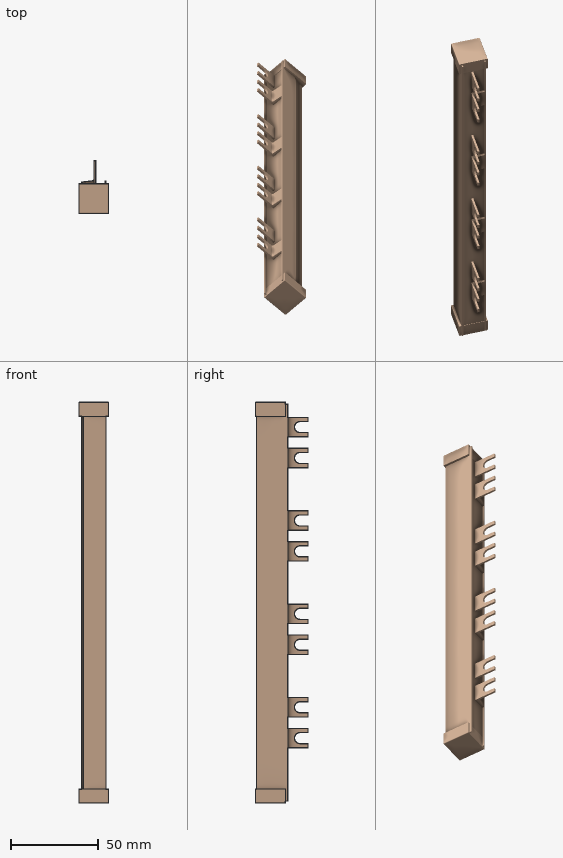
import cadquery as cq

length = 228.5
depth = 30.2
width = 17.0
front_y = -depth / 2
tip_y = depth / 2

cap_height = 8.0
cap_depth = 17.1
cap_round = 0.5

body_side = 7.0
body_front_y = -14.5
body_back_y = 1.8
front_left_x = -5.7
flank_y = -12.0
ridge_x = -6.6
ridge_y = -8.7
groove_x = -6.2
groove_y = -7.0

lip_thickness = 0.7
left_lip_back_y = 3.0
right_lip_back_y = 3.5
lip_length = 226.2

fork_thickness = 1.1
fork_x = 0.7
fork_height = 11.2
fork_root_y = body_back_y
slot_width = 6.2
slot_end_y = 7.3
first_fork_z = 100.0
fork_pitch = 53.2
fork_pairs = 4
pair_spacing = 17.5

foot_outer_x = -6.6
foot_outer_y = 3.0
foot_inner_y = 3.7
foot_bend_radius = 0.7


def make_housing():
    """Constant section with a stepped left flank, ending halfway into each cap."""
    outline = [
        (-body_side, body_back_y),
        (-body_side, groove_y),
        (groove_x, groove_y),
        (ridge_x, ridge_y),
        (front_left_x, flank_y),
        (front_left_x, body_front_y),
        (body_side, body_front_y),
        (body_side, body_back_y),
    ]
    housing_length = length - cap_height
    return cq.Workplane("XY").polyline(outline).close().extrude(housing_length / 2, both=True)


def make_cap(side):
    """End cap at the top (side = 1) or bottom (side = -1), rounded except at its mouth and rear face."""
    cap = cq.Workplane("XY").box(width, cap_depth, cap_height)
    cap = cap.edges("|Z and <Y").fillet(cap_round)
    outer_face = ">Z" if side > 0 else "<Z"
    cap = cap.faces(outer_face).edges("not >Y").fillet(cap_round)
    return cap.translate((0, front_y + cap_depth / 2, side * (length - cap_height) / 2))


def make_lip(center_x, back_y):
    """Thin wall rising from the middle plane of the housing to back_y."""
    lip = cq.Workplane("XY").box(lip_thickness, back_y, lip_length)
    return lip.translate((center_x, back_y / 2, 0))


def make_fork(z):
    """Flat two-pronged blade with a round-ended slot open at the tip."""
    blade_length = tip_y - fork_root_y
    blade = cq.Workplane("XY").box(fork_thickness, blade_length, fork_height)
    blade = blade.translate((fork_x, fork_root_y + blade_length / 2, z))
    slot_radius = slot_width / 2
    slot_center_y = slot_end_y + slot_radius
    slot = (
        cq.Workplane("YZ")
        .moveTo(tip_y, z - slot_radius)
        .lineTo(slot_center_y, z - slot_radius)
        .threePointArc((slot_end_y, z), (slot_center_y, z + slot_radius))
        .lineTo(tip_y, z + slot_radius)
        .close()
        .extrude(width, both=True)
    )
    return blade.cut(slot)


def make_foot(z):
    """Sloped wedge from the left of the housing that curves up into the blade."""
    blade_side_x = fork_x - fork_thickness / 2
    bend_start_x = blade_side_x - foot_bend_radius
    bend_end_y = foot_inner_y + foot_bend_radius
    foot = (
        cq.Workplane("XY")
        .moveTo(foot_outer_x, fork_root_y)
        .lineTo(foot_outer_x, foot_outer_y)
        .lineTo(bend_start_x, foot_inner_y)
        .tangentArcPoint((blade_side_x, bend_end_y), relative=False)
        .lineTo(fork_x, bend_end_y)
        .lineTo(fork_x, fork_root_y)
        .close()
        .extrude(fork_height / 2, both=True)
    )
    return foot.translate((0, 0, z))


lip_center_x = body_side - lip_thickness / 2
result = make_housing().union(make_cap(1)).union(make_cap(-1))
result = result.union(make_lip(-lip_center_x, left_lip_back_y))
result = result.union(make_lip(lip_center_x, right_lip_back_y))
for pair in range(fork_pairs):
    upper_z = first_fork_z - pair * fork_pitch
    lower_z = upper_z - pair_spacing
    result = result.union(make_fork(upper_z))
    result = result.union(make_fork(lower_z)).union(make_foot(lower_z))